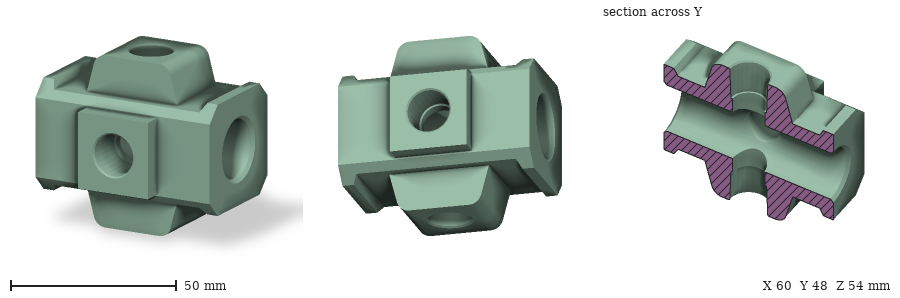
import cadquery as cq
import math

BODY_LENGTH = 60.0
BODY_WIDTH = 36.0
BODY_HEIGHT = 35.0
BODY_CHAMFER = 5.0

RECESS_DEPTH = 2.5
RECESS_FLOOR_LENGTH = 50.0
RECESS_WALL_ANGLE = 30.0

PAD_SIZE = 24.0
SPAN_Y = 48.0

SPAN_Z = 54.0
BOSS_WIDTH = 24.0
BOSS_BASE_LENGTH = 31.2
BOSS_WALL_ANGLE = 15.0
BOSS_FILLET = 4.0

BORE_DIAMETER = 18.7
BORE_MOUTH_DIAMETER = 20.7

PORT_DIAMETER = 13.2
PORT_TAPER = 1 / 16
PORT_MOUTH_DIAMETER = 14.2
PORT_INNER_DIAMETER = 11.2
PORT_DEPTH = 12.0


def make_body():
    """Octagonal bar with a recess in the top and bottom faces."""
    bar = cq.Workplane("XY").box(BODY_LENGTH, BODY_WIDTH, BODY_HEIGHT)
    bar = bar.edges("|X").chamfer(BODY_CHAMFER)
    half_floor = RECESS_FLOOR_LENGTH / 2
    half_mouth = half_floor + RECESS_DEPTH * math.tan(math.radians(RECESS_WALL_ANGLE))
    top = BODY_HEIGHT / 2
    floor = top - RECESS_DEPTH
    recess = (
        cq.Workplane("XZ")
        .polyline([(-half_floor, floor), (half_floor, floor), (half_mouth, top), (-half_mouth, top)])
        .close()
        .extrude(BODY_WIDTH / 2, both=True)
    )
    return bar.cut(recess).cut(recess.mirror("XY"))


def make_boss_pair():
    """One block through the body whose two ends narrow away from the recess floors."""
    floor = BODY_HEIGHT / 2 - RECESS_DEPTH
    top = SPAN_Z / 2
    half_base = BOSS_BASE_LENGTH / 2
    half_top = half_base - (top - floor) * math.tan(math.radians(BOSS_WALL_ANGLE))
    boss = (
        cq.Workplane("XZ")
        .polyline(
            [
                (-half_base, 0),
                (half_base, 0),
                (half_base, floor),
                (half_top, top),
                (-half_top, top),
                (-half_base, floor),
            ]
        )
        .close()
        .extrude(BOSS_WIDTH / 2, both=True)
        .faces(">Z")
        .edges("|Y")
        .fillet(BOSS_FILLET)
    )
    return boss.union(boss.mirror("XY"))


def make_bore():
    """Main bore along X, chamfered at both mouths."""
    radius = BORE_DIAMETER / 2
    mouth_radius = BORE_MOUTH_DIAMETER / 2
    end = BODY_LENGTH / 2
    chamfer_start = end - (mouth_radius - radius)
    half = (
        cq.Workplane("XY")
        .polyline([(0, 0), (0, radius), (chamfer_start, radius), (end, mouth_radius), (end, 0)])
        .close()
        .revolve(360, (0, 0), (1, 0))
    )
    return half.union(half.mirror("YZ"))


def make_port(outer_face):
    """Upward port from the part centre to outer_face: inner hole, tapered hole, chamfered mouth."""
    inner_radius = PORT_INNER_DIAMETER / 2
    radius = PORT_DIAMETER / 2
    mouth_radius = PORT_MOUTH_DIAMETER / 2
    step = outer_face - PORT_DEPTH
    chamfer_start = outer_face - (mouth_radius - radius)
    step_radius = radius - (chamfer_start - step) * PORT_TAPER / 2
    return (
        cq.Workplane("XZ")
        .polyline(
            [
                (0, 0),
                (inner_radius, 0),
                (inner_radius, step),
                (step_radius, step),
                (radius, chamfer_start),
                (mouth_radius, outer_face),
                (0, outer_face),
            ]
        )
        .close()
        .revolve(360, (0, 0), (0, 1))
    )


result = make_body()
result = result.union(cq.Workplane("XY").box(PAD_SIZE, SPAN_Y, PAD_SIZE))
result = result.union(make_boss_pair())
result = result.cut(make_bore())

for quarter_turn, span in enumerate([SPAN_Z, SPAN_Y, SPAN_Z, SPAN_Y]):
    port = make_port(span / 2).rotate((0, 0, 0), (1, 0, 0), 90 * quarter_turn)
    result = result.cut(port)